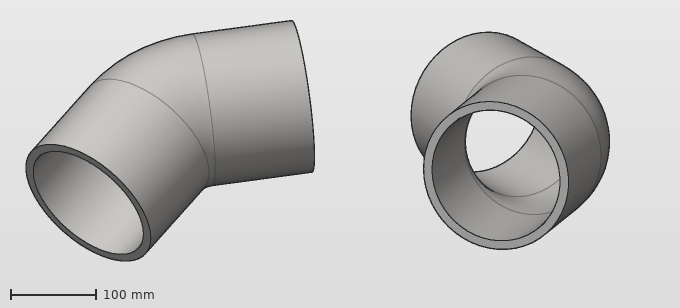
import cadquery as cq

outer_diameter = 180.0
inner_diameter = 158.5
bend_radius = 101.0
bend_angle = 45.0
end_length = 118.2

bend_centre = (bend_radius, 0, 0)


def elbow(diameter):
    """Solid elbow of one diameter, its bend starting at the origin."""
    radius = diameter / 2
    inlet = cq.Workplane("XZ").circle(radius).extrude(end_length)
    bend = (
        cq.Workplane("XZ")
        .circle(radius)
        .revolve(bend_angle, (bend_radius, 0), (bend_radius, -1))
    )
    outlet = (
        cq.Workplane("XZ")
        .circle(radius)
        .extrude(-end_length)
        .rotate(bend_centre, (bend_radius, 0, 1), -bend_angle)
    )
    return inlet.union(bend).union(outlet)


result = elbow(outer_diameter).cut(elbow(inner_diameter))